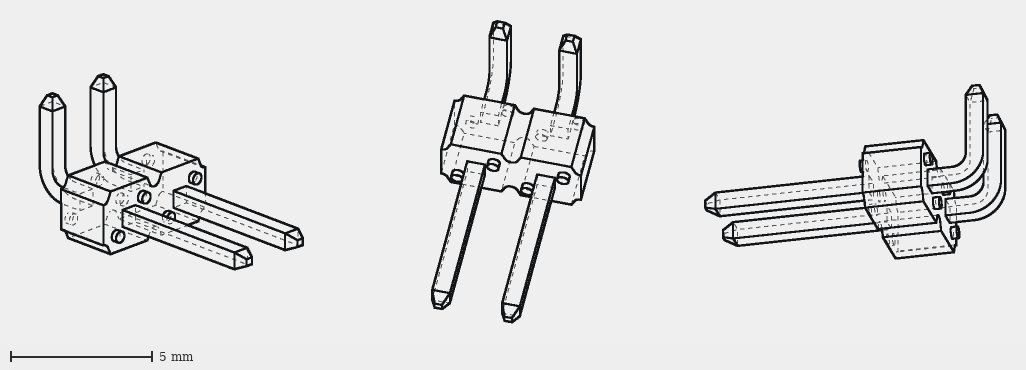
import cadquery as cq
import math

overall_length = 10.22
body_width = 5.08
pin_count = 2
pitch = body_width / pin_count

body_start = 2.03
body_length = 2.14
body_height = 2.4

notch_depth = 0.43
notch_root_radius = 0.25
notch_wall_angle = math.radians(24)

peg_diameter = 0.42
peg_projection = 0.21
peg_offset_y = 0.65
peg_offset_z = 0.56

pin_size = 0.64
pin_top = 3.51
bend_inner_radius = 0.49
tip_length = 0.43
tip_size = 0.27

bend_outer_radius = bend_inner_radius + pin_size
pin_centres = [(i - (pin_count - 1) / 2) * pitch for i in range(pin_count)]


def notch(y, side):
    """Notch cutter at position y; side is 1 for the top face, -1 for the bottom."""
    root_centre = notch_depth - notch_root_radius
    contact_y = notch_root_radius * math.cos(notch_wall_angle)
    contact_depth = root_centre + notch_root_radius * math.sin(notch_wall_angle)
    half_width = contact_y + contact_depth * math.tan(notch_wall_angle)

    def point(across, depth):
        return (y + across, side * (body_height / 2 - depth))

    return (
        cq.Workplane("YZ", origin=(body_start, 0, 0))
        .moveTo(*point(-half_width, 0))
        .lineTo(*point(-contact_y, contact_depth))
        .threePointArc(point(0, notch_depth), point(contact_y, contact_depth))
        .lineTo(*point(half_width, 0))
        .close()
        .extrude(body_length)
    )


def make_body():
    body = cq.Workplane("XY").box(body_length, body_width, body_height)
    body = body.translate((body_start + body_length / 2, 0, 0))
    for i in range(pin_count + 1):
        y = i * pitch - body_width / 2
        for side in (1, -1):
            body = body.cut(notch(y, side))
    return body


def pegs(y):
    """Diagonal pair of pegs running through the body and out of both end faces."""
    return (
        cq.Workplane("YZ", origin=(body_start - peg_projection, 0, 0))
        .pushPoints([(y + peg_offset_y, peg_offset_z), (y - peg_offset_y, -peg_offset_z)])
        .circle(peg_diameter / 2)
        .extrude(body_length + 2 * peg_projection)
    )


def tapered_tip(shoulder):
    """Pyramidal pin end built outward from the shoulder workplane."""
    return (
        shoulder.rect(pin_size, pin_size)
        .workplane(offset=tip_length)
        .rect(tip_size, tip_size)
        .loft(combine=True)
    )


def pin(y):
    half = pin_size / 2
    bend_z = bend_outer_radius - half
    shoulder_x = overall_length - tip_length
    shoulder_z = pin_top - tip_length
    diagonal = math.sqrt(0.5)

    def bend_midpoint(radius):
        return (bend_outer_radius - radius * diagonal, bend_z - radius * diagonal)

    shank = (
        cq.Workplane("XZ", origin=(0, y, 0))
        .moveTo(0, shoulder_z)
        .lineTo(0, bend_z)
        .threePointArc(bend_midpoint(bend_outer_radius), (bend_outer_radius, -half))
        .lineTo(shoulder_x, -half)
        .lineTo(shoulder_x, half)
        .lineTo(bend_outer_radius, half)
        .threePointArc(bend_midpoint(bend_inner_radius), (pin_size, bend_z))
        .lineTo(pin_size, shoulder_z)
        .close()
        .extrude(half, both=True)
    )
    upper_tip = tapered_tip(cq.Workplane("XY", origin=(half, y, shoulder_z)))
    end_tip = tapered_tip(cq.Workplane("YZ", origin=(shoulder_x, y, 0)))
    return shank.union(upper_tip).union(end_tip)


result = make_body()
for centre in pin_centres:
    result = result.union(pegs(centre)).union(pin(centre))